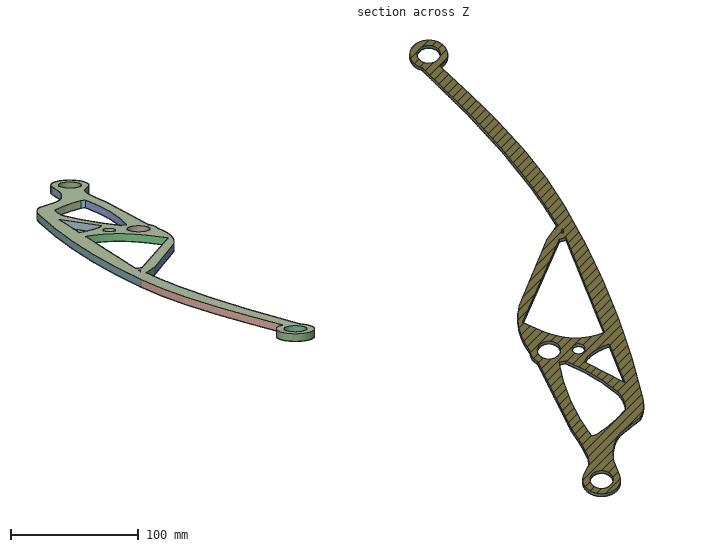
import cadquery as cq
import math

thickness = 6.3
eye_spacing = 460.0
eye_diameter = 30.0
bore_diameter = 18.0
eye_radius = eye_diameter / 2

pivot_x = 140.0
small_hole_diameter = 10.0
small_hole_center = (134.5, -22.5)

neck_lower_points = [(17.0, -15.3), (31.0, -20.0)]
neck_end = (43.5, -31.7)
heel_start = (52.4, -48.0)
heel_middle = (60.0, -52.9)
belly_start = (71.6, -56.0)
belly_bottom = (168.0, -62.2)
belly_end = (278.9, -55.8)
arm_lower_points = [(346.0, -41.8), (397.7, -24.2)]
arm_lower_end = (444.2, -5.6)

arm_upper_end = (449.4, 9.6)
arm_upper_points = [(378.6, -16.7), (318.0, -34.1)]
arm_upper_start = (262.0, -44.3)
strut_foot = (249.7, -31.8)
strut_top = (191.0, 8.9)
crown_peak = (161.5, 16.5)
crown_end = (143.5, 14.6)
pivot_shoulder = (131.0, 12.0)
rail_start = (56.8, 7.2)
neck_upper_middle = (40.0, 4.4)
neck_upper_end = (26.0, 3.3)
neck_upper_start = (18.3, 4.6)
neck_tangent_angle = math.radians(55)

front_top_left = (45.7, -5.9)
front_top_middle = (88.5, -1.0)
front_top_right = (125.4, -4.0)
front_right_corner = (125.4, -8.9)
front_brace_middle = (109.7, -22.6)
front_brace_end = (82.5, -38.9)
front_bottom_middle = (72.5, -40.5)
front_bottom_left = (64.0, -39.3)
front_side_middle = (54.5, -26.5)
front_left_corner = (45.7, -9.6)

rail_y = -46.9

middle_left_x = 90.8
middle_right_x = 131.8
middle_side_middle = (129.4, -36.2)
middle_side_top = (124.3, -26.6)
middle_apex = (120.3, -23.3)

rear_left_x = 144.9
rear_right_x = 247.0
rear_right_top_y = -41.6
rear_apex = (173.6, 11.2)
rear_side_points = [(157.3, -4.4), (146.9, -21.0), (144.2, -34.0)]
sliver_left_x = 252.9
sliver_length = 4.1
sliver_height = 1.8


def plate(outline):
    return outline.close().extrude(thickness)


def disc(center, diameter):
    return cq.Workplane("XY").center(*center).circle(diameter / 2).extrude(thickness)


def frame():
    neck_direction = (heel_start[0] - neck_end[0], heel_start[1] - neck_end[1])
    eye_tangent = (
        eye_radius * math.cos(neck_tangent_angle),
        eye_radius * math.sin(neck_tangent_angle),
    )
    return plate(
        cq.Workplane("XY")
        .moveTo(0, -eye_radius)
        .spline(
            [*neck_lower_points, neck_end],
            tangents=[(1, 0), neck_direction],
            includeCurrent=True,
        )
        .lineTo(*heel_start)
        .threePointArc(heel_middle, belly_start)
        .threePointArc(belly_bottom, belly_end)
        .spline([*arm_lower_points, arm_lower_end], includeCurrent=True)
        .lineTo(eye_spacing, 0)
        .lineTo(*arm_upper_end)
        .spline([*arm_upper_points, arm_upper_start], includeCurrent=True)
        .lineTo(*strut_foot)
        .lineTo(*strut_top)
        .threePointArc(crown_peak, crown_end)
        .lineTo(*pivot_shoulder)
        .lineTo(*rail_start)
        .threePointArc(neck_upper_middle, neck_upper_end)
        .lineTo(*neck_upper_start)
        .lineTo(*eye_tangent)
        .lineTo(0, 0)
    )


def front_window():
    return plate(
        cq.Workplane("XY")
        .moveTo(*front_top_left)
        .threePointArc(front_top_middle, front_top_right)
        .lineTo(*front_right_corner)
        .threePointArc(front_brace_middle, front_brace_end)
        .threePointArc(front_bottom_middle, front_bottom_left)
        .threePointArc(front_side_middle, front_left_corner)
    )


def middle_window():
    return plate(
        cq.Workplane("XY")
        .moveTo(middle_left_x, rail_y)
        .lineTo(middle_right_x, rail_y)
        .threePointArc(middle_side_middle, middle_side_top)
        .lineTo(*middle_apex)
    )


def rear_window():
    return plate(
        cq.Workplane("XY")
        .moveTo(rear_left_x, rail_y)
        .lineTo(rear_right_x, rail_y)
        .lineTo(rear_right_x, rear_right_top_y)
        .lineTo(*rear_apex)
        .spline([*rear_side_points, (rear_left_x, rail_y)], includeCurrent=True)
    )


def sliver_window():
    return plate(
        cq.Workplane("XY")
        .moveTo(sliver_left_x, rail_y)
        .lineTo(sliver_left_x + sliver_length, rail_y)
        .lineTo(sliver_left_x, rail_y + sliver_height)
    )


pivot_centers = [(0, 0), (pivot_x, 0), (eye_spacing, 0)]

result = frame()
for center in pivot_centers:
    result = result.union(disc(center, eye_diameter))
for center in pivot_centers:
    result = result.cut(disc(center, bore_diameter))
result = result.cut(disc(small_hole_center, small_hole_diameter))
for window in (front_window(), middle_window(), rear_window(), sliver_window()):
    result = result.cut(window)